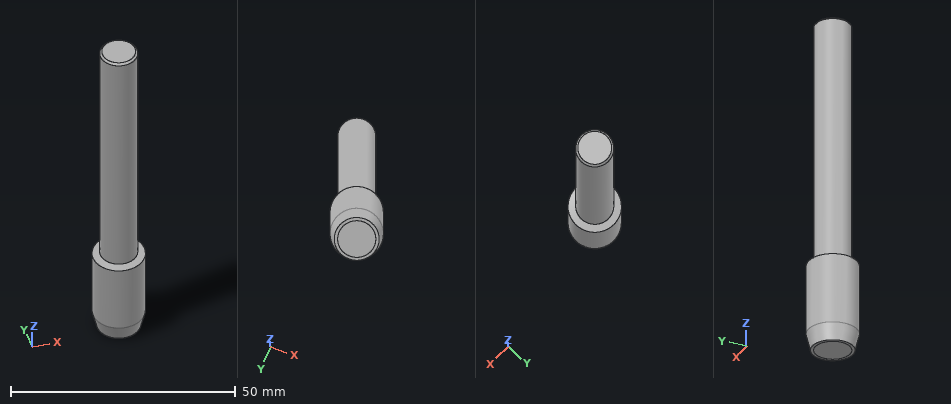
import cadquery as cq

total_length = 82.0
rod_diameter = 8.5
rod_chamfer = 0.5

sleeve_diameter = 12.0
sleeve_foot_diameter = 10.0
foot_taper_height = 4.0
shoulder_edge_height = 21.2
shoulder_rise = 0.5

rod_radius = rod_diameter / 2
sleeve_radius = sleeve_diameter / 2
sleeve_foot_radius = sleeve_foot_diameter / 2
sleeve_height = shoulder_edge_height + shoulder_rise


def make_rod():
    """Cylindrical pin with a chamfered upper end."""
    return cq.Workplane("XY").circle(rod_radius).extrude(total_length).faces(">Z").chamfer(rod_chamfer)


def make_sleeve():
    """Collar bored through for the rod, with a tapered foot and a shallow conical shoulder."""
    half_section = [
        (rod_radius, 0),
        (sleeve_foot_radius, 0),
        (sleeve_radius, foot_taper_height),
        (sleeve_radius, shoulder_edge_height),
        (rod_radius, sleeve_height),
    ]
    return cq.Workplane("XZ").polyline(half_section).close().revolve(360, (0, 0), (0, 1))


rod = make_rod()
sleeve = make_sleeve()

result = cq.Compound.makeCompound([rod.val(), sleeve.val()])